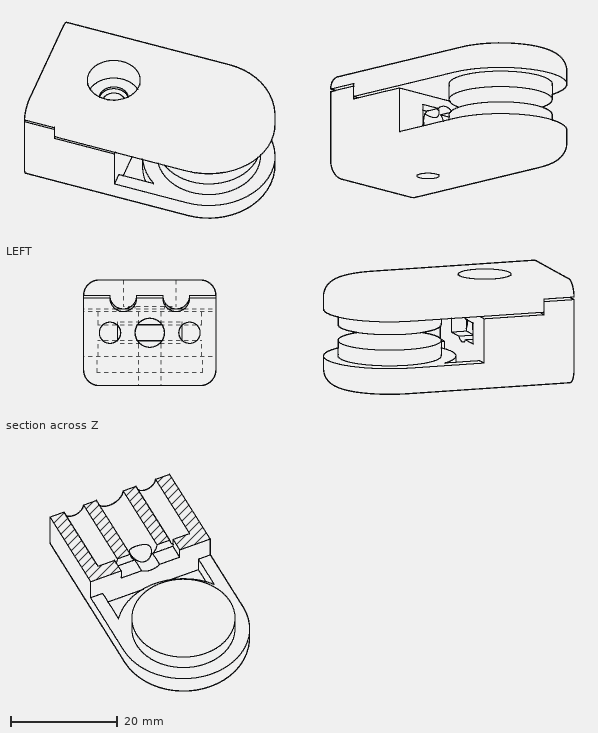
import cadquery as cq

length = 45.0
width = 25.0
height = 20.0
end_radius = width / 2
end_center_x = length - end_radius
outer_fillet = 3.0

jaw_thickness = 5.5
pad_diameter = 19.5
pad_height = 3.0
lid_underside = height - jaw_thickness

block_length = 18.0
lip_length = 6.0
block_top = 14.0
lip_top = 16.5
lip_clearance = 0.5

key_radius = lip_top - block_top
key_y = 5.0
tab_underside = lip_top + lip_clearance

screw_x = 13.5
screw_head_diameter = 10.0
screw_head_depth = 5.0
screw_clearance_diameter = 5.5
screw_thread_diameter = 4.2

bore_z = height / 2
center_bore_diameter = 5.5
side_bore_diameter = 4.0
side_bore_y = 7.5

slot_width = 12.15
slot_depth = 3.0

recess_width = 20.0
recess_depth = 3.0


def box(x_size, y_size, z_low, z_high, x_start=0.0):
    """Box centered on Y, given by its X start and its Z range."""
    return (
        cq.Workplane("XY")
        .box(x_size, y_size, z_high - z_low, centered=(False, True, False))
        .translate((x_start, 0, z_low))
    )


def upright_cylinder(diameter, x, z_low, z_high):
    return (
        cq.Workplane("XY", origin=(x, 0, z_low))
        .circle(diameter / 2)
        .extrude(z_high - z_low)
    )


def lengthwise_cylinder(diameter, x_size, y, z):
    return cq.Workplane("YZ", origin=(0, y, z)).circle(diameter / 2).extrude(x_size)


def envelope():
    """Full-height body with rounded top and bottom rims, sharp at X = 0."""
    body = (
        cq.Workplane("XY")
        .moveTo(0, -width / 2)
        .lineTo(end_center_x, -width / 2)
        .threePointArc((length, 0), (end_center_x, width / 2))
        .lineTo(0, width / 2)
        .close()
        .extrude(height)
    )
    return body.faces("<Z or >Z").edges("not(<X)").fillet(outer_fillet)


def make_base():
    jaw = envelope().intersect(box(length, width, 0, jaw_thickness))
    block = envelope().intersect(box(block_length, width, 0, block_top))
    lip = box(lip_length, width, block_top, lip_top)
    pad = upright_cylinder(pad_diameter, end_center_x, jaw_thickness, jaw_thickness + pad_height)
    base = jaw.union(block).union(lip).union(pad)

    for y in (-key_y, key_y):
        base = base.cut(lengthwise_cylinder(2 * key_radius, lip_length, y, lip_top))

    recess_floor = jaw_thickness - recess_depth
    recess = box(end_center_x - block_length, recess_width, recess_floor, jaw_thickness, block_length)
    seat = upright_cylinder(2 * end_radius, end_center_x, recess_floor, jaw_thickness)
    base = base.cut(recess.cut(seat))

    slot_start = block_length - slot_depth
    slot_half_height = side_bore_diameter / 2
    base = base.cut(
        box(slot_depth, slot_width, bore_z - slot_half_height, bore_z + slot_half_height, slot_start)
    )
    base = base.cut(lengthwise_cylinder(center_bore_diameter, block_length, 0, bore_z))
    for y in (-side_bore_y, side_bore_y):
        base = base.cut(lengthwise_cylinder(side_bore_diameter, slot_start, y, bore_z))

    return base.cut(upright_cylinder(screw_thread_diameter, screw_x, 0, block_top))


def make_lid():
    jaw = envelope().intersect(box(length, width, lid_underside, height))
    pad = upright_cylinder(pad_diameter, end_center_x, lid_underside - pad_height, lid_underside)
    lid = jaw.union(pad)

    lid = lid.cut(box(lip_length, width, lid_underside, tab_underside))
    for y in (-key_y, key_y):
        lid = lid.union(lengthwise_cylinder(2 * key_radius, lip_length, y, tab_underside))

    lid = lid.cut(upright_cylinder(screw_clearance_diameter, screw_x, lid_underside, height))
    return lid.cut(upright_cylinder(screw_head_diameter, screw_x, height - screw_head_depth, height))


base = make_base()
lid = make_lid()
result = cq.Compound.makeCompound([base.val(), lid.val()])